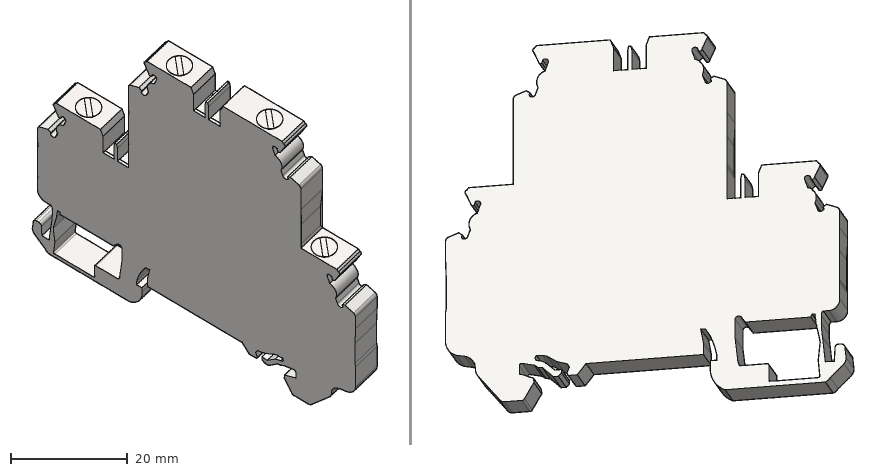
import cadquery as cq


thickness = 6.0
lower_left, lower_right = 1.1, 70.5
upper_left, upper_right = 20.95, 58.6
lower_top, upper_top = 40.25, 65.1
underside = 6.7

lug_width = 8.45
lug_height = 9.45

upper_slot_left, upper_slot_right = 35.2, 40.95
lower_slot_left, lower_slot_right = 15.45, upper_left
slot_depth = 5.65
slot_lead_in_width = 0.55
slot_lead_in_height = 1.4
tab_width = 0.8
tab_height = 4.2
tab_tip_width = 0.4
tab_tip_height = 0.85
contact_front = -2.4
upper_contact_back, lower_contact_back = 2.0, 2.25
contact_recess = 0.1

screw_diameter = 4.5
screw_y = -0.3
screw_recess = 0.1
driver_slot_width = 1.0
driver_slot_depth = 0.1
driver_slot_angle = -45
upper_screws = (29.95, 49.6)
lower_screws = (10.15, 61.55)

entry_depth = 0.15
entry_floor_width = 5.2
lower_entry = (17.9, 18.6, 23.8, 27.8)
upper_entry = (40.25, 41.1, 46.1, 50.3)


def plate(start, path):
    """Extrude a closed XZ outline symmetrically about Y = 0.

    A path item is a point (straight stretch) or a pair of points (arc: middle, end).
    """
    sketch = cq.Workplane("XZ").moveTo(*start)
    for item in path:
        if isinstance(item[0], tuple):
            sketch = sketch.threePointArc(*item)
        else:
            sketch = sketch.lineTo(*item)
    return sketch.close().extrude(thickness / 2, both=True)


def block(left, right, bottom, top):
    return plate((left, bottom), [(right, bottom), (right, top), (left, top)])


def marker_lug(side, top, inward):
    """Hooked corner with two marker grooves; inward is +1 on left corners, -1 on right ones."""
    def at(across, down):
        return (side + inward * across, top - down)

    return plate(at(4.1, 0), [
        at(3.75, 0.4),
        (at(3.45, 0.7), at(3.5, 1.05)),
        at(4.45, 2.95),
        (at(4.7, 3.3), at(5.1, 3.25)),
        at(5.2, 2.75),
        (at(5.9, 2.6), at(6.2, 3.2)),
        at(5.65, 4.7),
        (at(4.5, 5.5), at(4.15, 7.05)),
        at(4.4, 7.7),
        at(3.95, 8.75),
        (at(3.4, 9.25), at(2.8, 8.9)),
        at(2.95, 8.45),
        at(2.3, 8.05),
        at(0.4, 8.75),
        (at(0.15, 9.0), at(0, lug_height)),
        at(lug_width, lug_height),
        at(lug_width, 0),
    ])


def tier_head(left, right, top):
    """Top band of a tier: a plain middle with a marker lug at each end."""
    middle = block(left + lug_width, right - lug_width, top - lug_height, top)
    return middle.union(marker_lug(left, top, 1)).union(marker_lug(right, top, -1))


def lower_body():
    """Lower tier below its lugs, with the fixed rail claw and the spring catch underneath."""
    shoulder = lower_top - lug_height
    return plate((lower_left, shoulder), [
        (lower_left, 14.9),
        ((1.6, 13.55), (3.0, 12.9)),
        (24.9, 12.9),
        (25.6, 11.35),
        (25.1, 8.75),
        (25.1, underside),
        (45.75, underside),
        (47.3, 4.8),
        (48.85, 4.8),
        (49.15, 5.15),
        (48.7, 6.3),
        (49.1, 6.9),
        (50.9, 7.5),
        (52.65, 8.6),
        (53.45, 8.8),
        (54.4, 8.8),
        ((54.7, 8.45), (54.2, 8.0)),
        (53.0, 7.55),
        (51.25, 6.0),
        (50.05, 6.0),
        (50.05, 5.35),
        (50.6, 4.8),
        (51.55, 4.8),
        (53.45, 6.55),
        (54.2, 6.7),
        (54.85, 7.1),
        (56.95, 7.6),
        ((57.3, 7.55), (57.45, 7.2)),
        (57.45, 5.8),
        (55.0, 4.8),
        (54.9, 3.95),
        (56.6, 1.2),
        ((56.75, 1.0), (57.0, 0.9)),
        (60.1, 0.9),
        ((60.6, 1.05), (61.05, 1.5)),
        (64.8, 6.0),
        ((65.15, 6.6), (65.2, 7.2)),
        ((65.8, 8.9), (67.1, 9.7)),
        (68.5, 10.0),
        ((69.95, 11.0), (lower_right, 12.6)),
        (lower_right, shoulder),
    ])


def rail_foot():
    """Sprung foot: a hook and a thin arm on the left, a thick leg on the right, around a window."""
    outline = plate((4.0, 14.1), [
        (4.0, 12.9),
        ((4.2, 12.7), (4.4, 12.1)),
        (4.4, 10.7),
        ((4.3, 9.45), (4.15, 8.2)),
        (3.7, 3.7),
        (2.1, 3.7),
        (2.0, 5.9),
        ((1.8, 6.5), (1.4, 6.7)),
        (0.85, 6.7),
        ((0.4, 6.5), (0.2, 5.85)),
        (0, 4.1),
        ((0.105, 3.5), (0.35, 3.0)),
        (2.8, 0.7),
        ((3.2, 0.3), (3.7, 0)),
        (21.3, 0),
        ((23.35, 1.75), (23.9, 4.4)),
        (23.9, 5.5),
        (22.8, 5.5),
        (22.8, 6.4),
        ((23.6, 9.25), (24.75, 11.3)),
        (25.6, 11.35),
        (25.6, 14.1),
    ])
    window = plate((4.65, 1.2), [
        ((4.7, 1.0), (4.9, 0.9)),
        (13.3, 0.9),
        ((13.55, 1.0), (13.6, 1.2)),
        (13.6, 3.9),
        ((13.7, 4.1), (13.9, 4.15)),
        (18.75, 4.15),
        (19.0, 4.85),
        (19.5, 9.2),
        (19.5, 12.7),
        ((18.95, 13.2), (18.3, 12.75)),
        (17.7, 12.0),
        (6.2, 12.0),
        (6.0, 12.5),
        (5.5, 12.5),
        (5.3, 10.7),
        (4.6, 7.3),
        (4.9, 4.0),
    ])
    return outline, window


def jumper_slot(left, right, top, lead_in_right):
    """Cutter for a slot with a sloped lead-in on the left wall and, if asked, on the right."""
    floor = top - slot_depth
    shoulder = top - slot_lead_in_height
    right_flare = slot_lead_in_width if lead_in_right else 0
    return plate((left, floor), [
        (left, shoulder),
        (left - slot_lead_in_width, top),
        (right + right_flare, top),
        (right, shoulder),
        (right, floor),
    ])


def contact_strip(left, right, top, back):
    """Cutter for the shallow inlay in the slot floor."""
    floor = top - slot_depth
    return (
        cq.Workplane("XY")
        .box(right - left, back - contact_front, contact_recess, centered=False)
        .translate((left, contact_front, floor - contact_recess))
    )


def partition_tab(left, right, top):
    """Tab with a tapered tip standing in the middle of a slot."""
    centre = (left + right) / 2
    half_width = tab_width / 2
    half_tip = tab_tip_width / 2
    root = top - slot_depth - contact_recess
    tip = top - slot_depth + tab_height
    return plate((centre - half_width, root), [
        (centre - half_width, tip - tab_tip_height),
        (centre - half_tip, tip),
        (centre + half_tip, tip),
        (centre + half_width, tip - tab_tip_height),
        (centre + half_width, root),
    ])


def screw(x, top):
    """Cutter for a sunk screw head with a diagonal driver slot."""
    head = cq.Workplane("XY").circle(screw_diameter / 2).extrude(-screw_recess)
    groove_depth = screw_recess + driver_slot_depth
    groove = (
        cq.Workplane("XY")
        .rect(screw_diameter, driver_slot_width)
        .extrude(-groove_depth)
        .rotate((0, 0, 0), (0, 0, 1), driver_slot_angle)
        .intersect(cq.Workplane("XY").circle(screw_diameter / 2).extrude(-groove_depth))
    )
    return head.union(groove).translate((x, screw_y, top))


def wire_entry(side, inward, levels, floor_width):
    """Cutter for a shallow recess: a flat floor with ramps below and above and flared sides."""
    bottom, floor_bottom, floor_top, top = levels
    floor = side + inward * entry_depth
    ramps = plate((side, bottom), [(floor, floor_bottom), (floor, floor_top), (side, top)])
    flare = (
        cq.Workplane("XY", origin=(0, 0, bottom))
        .moveTo(side, -thickness / 2)
        .lineTo(floor, -floor_width / 2)
        .lineTo(floor, floor_width / 2)
        .lineTo(side, thickness / 2)
        .close()
        .extrude(top - bottom)
    )
    return ramps.intersect(flare)


upper_body = block(upper_left, upper_right, lower_top - lug_height, upper_top - lug_height)
foot, foot_window = rail_foot()
result = (
    lower_body()
    .union(tier_head(lower_left, lower_right, lower_top))
    .union(upper_body)
    .union(tier_head(upper_left, upper_right, upper_top))
    .union(foot)
    .cut(foot_window)
)

slots = (
    (upper_slot_left, upper_slot_right, upper_top, True, upper_contact_back),
    (lower_slot_left, lower_slot_right, lower_top, False, lower_contact_back),
)
for left, right, top, lead_in_right, contact_back in slots:
    result = result.cut(jumper_slot(left, right, top, lead_in_right))
    result = result.cut(contact_strip(left, right, top, contact_back))
    result = result.union(partition_tab(left, right, top))

for screw_row, top in ((upper_screws, upper_top), (lower_screws, lower_top)):
    for screw_x in screw_row:
        result = result.cut(screw(screw_x, top))

entries = (
    (lower_left, 1, lower_entry, entry_floor_width),
    (lower_right, -1, lower_entry, thickness),
    (upper_left, 1, upper_entry, entry_floor_width),
    (upper_right, -1, upper_entry, entry_floor_width),
)
for side, inward, levels, floor_width in entries:
    result = result.cut(wire_entry(side, inward, levels, floor_width))